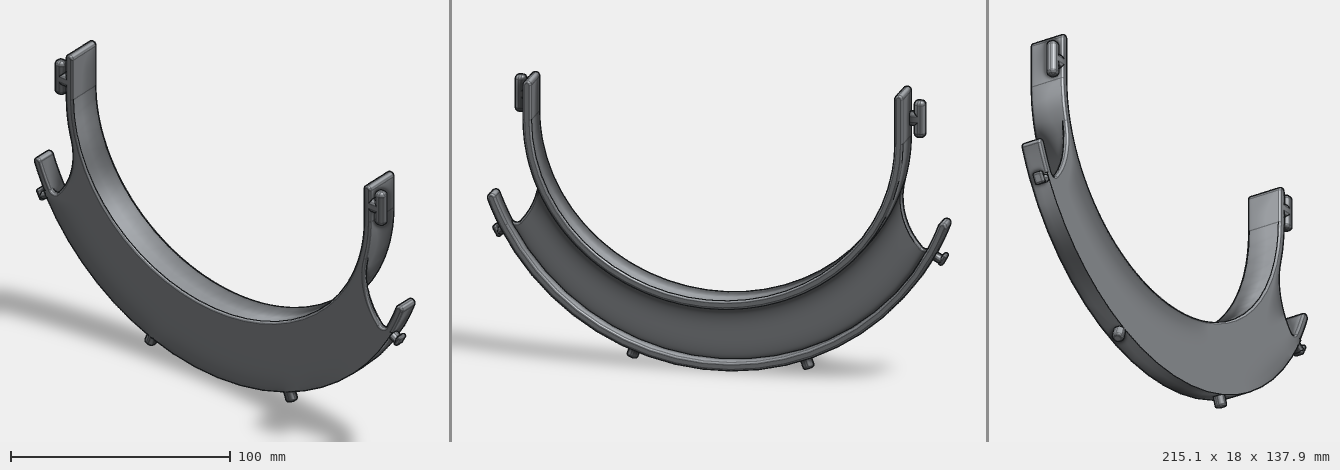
import cadquery as cq
import math

BAND_INNER_X = 85.0
BAND_INNER_Z = 79.8
WALL = 4.0
BAND_OUTER_X = BAND_INNER_X + WALL
BAND_OUTER_Z = BAND_INNER_Z + WALL
BAND_DEPTH = 18.0
LEFT_ARM_TOP = 22.86
RIGHT_ARM_TOP = 18.3

RIM_OUTER_R = 115.0
RIM_INNER_R = RIM_OUTER_R - WALL
RIM_MID_R = RIM_OUTER_R - WALL / 2
RIM_DEPTH = 10.2
HALF_WIDTH = 107.555

PLATE_THICKNESS = 3.0
SCOOP_R = 34.0
SCOOP_START_Z = -20.7
SCOOP_CORNER_R = 2.5

EDGE_R = 1.0
END_R = 0.49 * WALL

FITTING_DEPTH = 5.0
ROOT_OVERLAP = WALL / 2

CLIP_WIDTH = 5.2
CLIP_HEIGHT = 17.4
CLIP_CENTRE_X = 93.4
CLIP_CENTRE_Z = 8.35
CLIP_STEM_HEIGHT = 6.6
CLIP_EDGE_R = 2.0

HOOK_ANGLE = 28.75
HOOK_CENTRE_R = 119.0
HOOK_THICKNESS = 2.2
HOOK_LENGTH = 5.6
HOOK_EDGE_R = 1.0
HOOK_STEM_WIDTH = 3.6
HOOK_STEM_DROP = 0.8
HOOK_STEM_EDGE_R = 1.7

PEG_ANGLE = 69.8
PEG_TIP_R = 120.2
PEG_WIDTH = 5.0
PEG_EDGE_R = 2.0
PEG_TIP_EDGE_R = 1.0

TOLERANCE = 0.01



def polar(radius, angle):
    """Point on the left side, `angle` degrees below the X axis."""
    a = math.radians(angle)
    return (-radius * math.cos(a), -radius * math.sin(a))


def angle_of(point):
    """Degrees below the X axis of a point on the left side."""
    return math.degrees(math.atan2(-point[1], -point[0]))


def mirrored(point):
    return (-point[0], point[1])


def toward(start, end, distance):
    """Point at `distance` from `start` in the direction of `end`."""
    length = math.dist(start, end)
    return tuple(s + (e - s) * distance / length for s, e in zip(start, end))


def arc_middle(centre, start, end, radius):
    chord_middle = ((start[0] + end[0]) / 2, (start[1] + end[1]) / 2)
    return toward(centre, chord_middle, radius)



scoop_start_x = -BAND_OUTER_X * math.sqrt(1 - (SCOOP_START_Z / BAND_OUTER_Z) ** 2)
scoop_start = (scoop_start_x, SCOOP_START_Z)
point_on_normal = (
    scoop_start_x + scoop_start_x / BAND_OUTER_X**2,
    SCOOP_START_Z + SCOOP_START_Z / BAND_OUTER_Z**2,
)
scoop_centre = toward(scoop_start, point_on_normal, SCOOP_R)

corner_from_origin = RIM_INNER_R - SCOOP_CORNER_R
corner_from_scoop = SCOOP_R - SCOOP_CORNER_R
scoop_from_origin = math.hypot(*scoop_centre)
corner_offset = math.degrees(math.acos(
    (corner_from_origin**2 + scoop_from_origin**2 - corner_from_scoop**2)
    / (2 * corner_from_origin * scoop_from_origin)
))
tab_root_angle = angle_of(scoop_centre) + corner_offset
corner_centre = polar(corner_from_origin, tab_root_angle)
corner_on_scoop = toward(scoop_centre, corner_centre, SCOOP_R)
corner_on_rim = polar(RIM_INNER_R, tab_root_angle)

tip_centre_angle = math.degrees(math.acos((HALF_WIDTH - WALL / 2) / RIM_MID_R))
tab_tip_angle = tip_centre_angle - math.degrees(WALL / 2 / RIM_MID_R)



def is_not_rim_edge(edge):
    """False for the sharp outer edge of the plate and the joints to the tabs."""
    ends = (edge.startPoint(), edge.endPoint())
    return all(math.hypot(p.x, p.z) < RIM_OUTER_R - EDGE_R for p in ends)


def is_rim_back_edge(edge):
    """True for the arcs on the back face of the rim wall."""
    return edge.geomType() == "CIRCLE" and abs(edge.Center().y - RIM_DEPTH) < TOLERANCE


def is_scoop_back_edge(edge):
    """True for the scoop arcs on the back face of the plate."""
    if edge.geomType() != "CIRCLE" or abs(edge.Center().y - PLATE_THICKNESS) > TOLERANCE:
        return False
    return any(abs(edge.radius() - r) < TOLERANCE for r in (SCOOP_R, SCOOP_CORNER_R))


def is_not_tab_joint(edge):
    """False for the edges where the tab meets the rest of the rim."""
    middle = edge.positionAt(0.5)
    return abs(angle_of((middle.x, middle.z)) - tab_root_angle) > TOLERANCE



def band_block(x_radius, z_radius):
    """Half ellipse with both arms as a filled block, as deep as the band."""
    return (
        cq.Workplane("XZ")
        .moveTo(-x_radius, 0)
        .ellipseArc(x_radius, z_radius, 180, 360, startAtCurrent=True)
        .lineTo(x_radius, RIGHT_ARM_TOP)
        .lineTo(0, RIGHT_ARM_TOP)
        .lineTo(0, LEFT_ARM_TOP)
        .lineTo(-x_radius, LEFT_ARM_TOP)
        .close()
        .extrude(-BAND_DEPTH)
    )


def plate():
    """Front plate with both scoops, still filled where the head goes."""
    scoop_middle = arc_middle(scoop_centre, scoop_start, corner_on_scoop, SCOOP_R)
    corner_middle = arc_middle(corner_centre, corner_on_scoop, corner_on_rim, SCOOP_CORNER_R)
    root = polar(RIM_OUTER_R, tab_root_angle)
    blank = (
        cq.Workplane("XZ")
        .moveTo(*scoop_start)
        .threePointArc(scoop_middle, corner_on_scoop)
        .threePointArc(corner_middle, corner_on_rim)
        .lineTo(*root)
        .threePointArc((0, -RIM_OUTER_R), mirrored(root))
        .lineTo(*mirrored(corner_on_rim))
        .threePointArc(mirrored(corner_middle), mirrored(corner_on_scoop))
        .threePointArc(mirrored(scoop_middle), mirrored(scoop_start))
        .close()
        .extrude(-PLATE_THICKNESS)
    )
    return blank.edges().filter(is_scoop_back_edge).fillet(EDGE_R)


def rim_sector(start_angle, end_angle):
    middle_angle = (start_angle + end_angle) / 2
    return (
        cq.Workplane("XZ")
        .moveTo(*polar(RIM_OUTER_R, start_angle))
        .threePointArc(polar(RIM_OUTER_R, middle_angle), polar(RIM_OUTER_R, end_angle))
        .lineTo(*polar(RIM_INNER_R, end_angle))
        .threePointArc(polar(RIM_INNER_R, middle_angle), polar(RIM_INNER_R, start_angle))
        .close()
        .extrude(-RIM_DEPTH)
    )


def frame():
    """Band, plate and rim wall in one piece, with rounded edges."""
    body = (
        band_block(BAND_OUTER_X, BAND_OUTER_Z)
        .union(plate())
        .union(rim_sector(tab_root_angle, 180 - tab_root_angle))
        .cut(band_block(BAND_INNER_X, BAND_INNER_Z))
    )
    arm_zone = cq.selectors.BoxSelector(
        (-HALF_WIDTH, 0, RIGHT_ARM_TOP - TOLERANCE),
        (HALF_WIDTH, BAND_DEPTH, LEFT_ARM_TOP + TOLERANCE),
    )
    body = body.edges("|Y").edges(arm_zone).fillet(END_R)
    front_edges = body.faces("<Y").edges().filter(is_not_rim_edge)
    back_edges = body.faces(">Y").edges()
    rim_edges = body.edges().filter(is_rim_back_edge)
    rounded = front_edges.vals() + back_edges.vals() + rim_edges.vals()
    return body.newObject(rounded).fillet(EDGE_R)


def tab():
    """Free left end of the rim with a round tip."""
    blank = rim_sector(tab_tip_angle, tab_root_angle)
    blank = blank.edges("|Y").filter(is_not_tab_joint).fillet(END_R)
    return blank.faces("<Y or >Y").edges().filter(is_not_tab_joint).fillet(EDGE_R)



def fitting_box(x_size, z_size):
    """Box centred on X and Z that starts at the front face."""
    return cq.Workplane().box(x_size, FITTING_DEPTH, z_size).translate((0, FITTING_DEPTH / 2, 0))


def at_rim(solid, angle):
    """Turn a feature that points along -X to its angle below the X axis."""
    return solid.rotate((0, 0, 0), (0, 1, 0), -angle)


def clip():
    bar = fitting_box(CLIP_WIDTH, CLIP_HEIGHT).edges().fillet(CLIP_EDGE_R)
    stem_length = CLIP_CENTRE_X - BAND_OUTER_X + ROOT_OVERLAP
    stem = fitting_box(stem_length, CLIP_STEM_HEIGHT).edges("|X").fillet(CLIP_EDGE_R)
    whole = bar.union(stem.translate((stem_length / 2, 0, 0)))
    return whole.translate((-CLIP_CENTRE_X, 0, CLIP_CENTRE_Z))


def hook():
    bar = fitting_box(HOOK_THICKNESS, HOOK_LENGTH).edges().fillet(HOOK_EDGE_R)
    stem_length = HOOK_CENTRE_R - RIM_OUTER_R + ROOT_OVERLAP
    stem = fitting_box(stem_length, HOOK_STEM_WIDTH).edges("|X").fillet(HOOK_STEM_EDGE_R)
    whole = bar.union(stem.translate((stem_length / 2, 0, -HOOK_STEM_DROP)))
    return at_rim(whole.translate((-HOOK_CENTRE_R, 0, 0)), HOOK_ANGLE)


def peg():
    length = PEG_TIP_R - RIM_OUTER_R + ROOT_OVERLAP
    post = fitting_box(length, PEG_WIDTH).edges("|X").fillet(PEG_EDGE_R)
    post = post.faces("<X").edges().fillet(PEG_TIP_EDGE_R)
    return at_rim(post.translate((length / 2 - PEG_TIP_R, 0, 0)), PEG_ANGLE)


result = frame()
for feature in (tab(), clip(), hook(), peg()):
    result = result.union(feature).union(feature.mirror("YZ"))